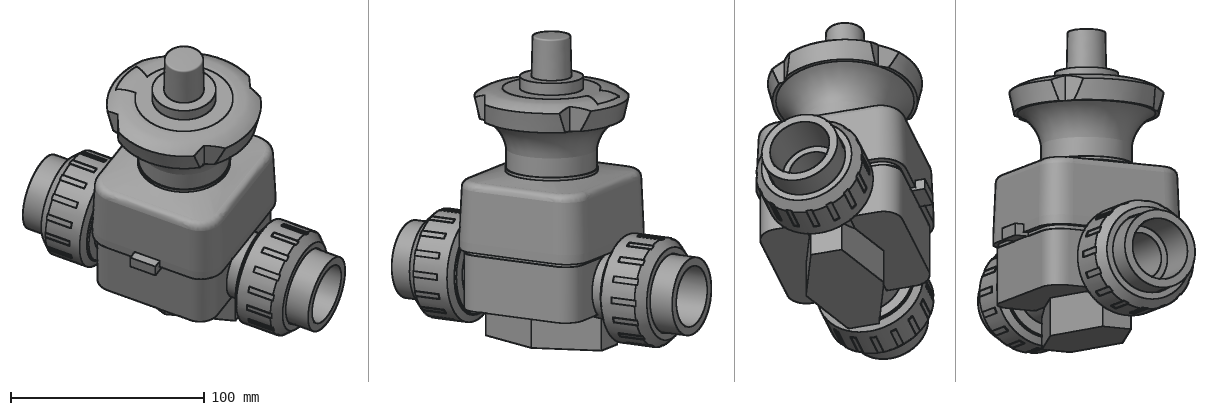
import cadquery as cq
import math


PIPE_HALF_LENGTH = 83.8
BORE_RADIUS = 12.5
SOCKET_RADIUS = 16.0
SOCKET_DEPTH = 23.0
SPIGOT_RADIUS = 18.0
PIPE_END_RADIUS = 20.45
FLANGE_RADIUS = 24.0
FLANGE_INNER_X = 43.0
FLANGE_OUTER_X = 64.0

NUT_INNER_X = 44.0
NUT_OUTER_X = 70.9
NUT_RADIUS = 28.65
NUT_HOLE_CLEARANCE = 0.4
NUT_OUTER_CHAMFER_LENGTH = 4.9
NUT_OUTER_FACE_RADIUS = 24.3
NUT_INNER_CHAMFER_LENGTH = 2.0
NUT_INNER_FACE_RADIUS = 24.6
GROOVE_COUNT = 16
GROOVE_WIDTH = 3.1
GROOVE_DEPTH = 0.5
GROOVE_INNER_X = 52.1

BLOCK_HALF_X = 34.6
BLOCK_HALF_Y = 38.2
BLOCK_BOTTOM_Z = -13.1
BLOCK_TOP_Z = 16.6
BLOCK_CORNER_RADIUS = 10.2
FOOT_BOTTOM_Z = -33.1
FOOT_HALF_Y = 21.0
FOOT_END_HALF_Y = 8.3

DIAPHRAGM_HALF_Y = 37.5
DIAPHRAGM_THICKNESS = 2.0
TAB_WIDTH = 14.8
TAB_HEIGHT = 6.2
TAB_LENGTH = 5.0

BONNET_BOTTOM_Z = BLOCK_TOP_Z + DIAPHRAGM_THICKNESS
BONNET_HALF_X = 37.6
BONNET_HALF_Y = 40.2
BONNET_CORNER_RADIUS = 13.2
SKIRT_HEIGHT = 5.0
BONNET_SHOULDER_Z = 55.0
BONNET_SIDE_INSET = 1.15
BONNET_TOP_CORNER_RADIUS = 12.8
BONNET_EDGE_RADIUS = 4.0
ROOF_TOP_Z = 57.4
COLLAR_CORNER_HALF_ANGLE = 13.5
BONNET_COLLAR_RADIUS = 24.1
BONNET_TOP_Z = 59.0

NECK_RADIUS = 23.6
NECK_TOP_Z = 69.1
FLARE_MIDDLE = (27.5, 78.9)
FLARE_TOP_RADIUS = 35.8
RIM_BOTTOM_Z = 86.1
RIM_BOTTOM_RADIUS = 37.6
RIM_TOP_Z = 96.9
RIM_TOP_RADIUS = 40.05
WHEEL_TOP_Z = 101.1
WHEEL_FLAT_RADIUS = 27.7
NOTCH_COUNT = 4
NOTCH_APEX_RADIUS = 35.9
NOTCH_APEX_ANGLE = 45.0
NOTCH_FLANK_ANGLES = (-15.6, 121.0)
NOTCH_CUT_LENGTH = 20.0

CAP_RADIUS = 25.4
CAP_FLOOR_Z = 97.0
POINTER_TIP_RADIUS = 36.5
POINTER_ROOT_POINTS = ((-24.3, 5.5), (-24.1, -7.9))
POINTER_TIP_ANGLES = (160.7, 193.6)
CAP_COLLAR_RADIUS = 16.5
CAP_COLLAR_TOP_Z = 107.4
VALVE_HEIGHT = 162.64
STEM_BASE_RADIUS = 10.4
STEM_TOP_RADIUS = 9.95
STEM_EDGE_RADIUS = 0.9
STEM_EDGE_Z = 128.2
STEM_TOP_Z = FOOT_BOTTOM_Z + VALVE_HEIGHT


def polar(radius, angle):
    """Point in the XY plane at an angle in degrees from +X."""
    turn = math.radians(angle)
    return (radius * math.cos(turn), radius * math.sin(turn))


def revolve_z(profile):
    """Solid of revolution about Z from a closed radius-height profile in the XZ plane."""
    return profile.revolve(360, (0, 0, 0), (0, 1, 0))


def rounded_block(half_x, half_y, corner_radius, bottom_z, top_z):
    block = cq.Workplane("XY").workplane(offset=bottom_z).rect(2 * half_x, 2 * half_y)
    return block.extrude(top_z - bottom_z).edges("|Z").fillet(corner_radius)


def rounded_outline(half_x, half_y, corner_radius, z):
    """Rounded rectangle with its centre on the Z axis."""
    sketch = cq.Sketch().rect(2 * half_x, 2 * half_y).vertices().fillet(corner_radius)
    return sketch.moved(cq.Location(cq.Vector(0, 0, z)))


def x_cylinder(radius, start_x, end_x):
    return cq.Workplane("YZ").workplane(offset=start_x).circle(radius).extrude(end_x - start_x)


def make_body():
    body = rounded_block(BLOCK_HALF_X, BLOCK_HALF_Y, BLOCK_CORNER_RADIUS, BLOCK_BOTTOM_Z, BLOCK_TOP_Z)
    foot = (
        cq.Workplane("XY")
        .workplane(offset=FOOT_BOTTOM_Z)
        .polyline([
            (-BLOCK_HALF_X, -FOOT_END_HALF_Y),
            (0, -FOOT_HALF_Y),
            (BLOCK_HALF_X, -FOOT_END_HALF_Y),
            (BLOCK_HALF_X, FOOT_END_HALF_Y),
            (0, FOOT_HALF_Y),
            (-BLOCK_HALF_X, FOOT_END_HALF_Y),
        ])
        .close()
        .extrude(-FOOT_BOTTOM_Z)
    )
    body = body.union(foot)
    body = body.union(x_cylinder(SPIGOT_RADIUS, -FLANGE_OUTER_X, FLANGE_OUTER_X))
    for side in (-1, 1):
        body = body.union(x_cylinder(FLANGE_RADIUS, side * FLANGE_INNER_X, side * FLANGE_OUTER_X))
        body = body.union(x_cylinder(PIPE_END_RADIUS, side * FLANGE_OUTER_X, side * PIPE_HALF_LENGTH))
    body = body.cut(x_cylinder(BORE_RADIUS, -PIPE_HALF_LENGTH, PIPE_HALF_LENGTH))
    for side in (-1, 1):
        socket_floor_x = side * (PIPE_HALF_LENGTH - SOCKET_DEPTH)
        body = body.cut(x_cylinder(SOCKET_RADIUS, socket_floor_x, side * PIPE_HALF_LENGTH))
    return body


def make_nut():
    """Union nut on the +X pipe end, with its shoulder against the body's flange."""
    outer_edge_x = NUT_OUTER_X - NUT_OUTER_CHAMFER_LENGTH
    hole_radius = PIPE_END_RADIUS + NUT_HOLE_CLEARANCE
    nut = (
        cq.Workplane("XY")
        .polyline([
            (NUT_INNER_X, FLANGE_RADIUS),
            (NUT_INNER_X, NUT_INNER_FACE_RADIUS),
            (NUT_INNER_X + NUT_INNER_CHAMFER_LENGTH, NUT_RADIUS),
            (outer_edge_x, NUT_RADIUS),
            (NUT_OUTER_X, NUT_OUTER_FACE_RADIUS),
            (NUT_OUTER_X, hole_radius),
            (FLANGE_OUTER_X, hole_radius),
            (FLANGE_OUTER_X, FLANGE_RADIUS),
        ])
        .close()
        .revolve(360, (0, 0, 0), (1, 0, 0))
    )
    groove_floor = NUT_RADIUS - GROOVE_DEPTH
    groove = cq.Workplane("XY").box(
        NUT_OUTER_X - GROOVE_INNER_X, GROOVE_WIDTH, NUT_RADIUS, centered=(False, True, False)
    ).translate((GROOVE_INNER_X, 0, groove_floor))
    for index in range(GROOVE_COUNT):
        nut = nut.cut(groove.rotate((0, 0, 0), (1, 0, 0), index * 360 / GROOVE_COUNT))
    return nut


def make_diaphragm():
    """Flat plate with a marking tab that turns up outside the bonnet skirt."""
    plate = rounded_block(
        BLOCK_HALF_X, DIAPHRAGM_HALF_Y, BLOCK_CORNER_RADIUS, BLOCK_TOP_Z, BONNET_BOTTOM_Z
    )
    tab_tip_y = -BONNET_HALF_Y - TAB_LENGTH
    tab = (
        cq.Workplane("YZ")
        .workplane(offset=-TAB_WIDTH / 2)
        .polyline([
            (0, BLOCK_TOP_Z),
            (tab_tip_y, BLOCK_TOP_Z),
            (tab_tip_y, BLOCK_TOP_Z + TAB_HEIGHT),
            (-BONNET_HALF_Y, BLOCK_TOP_Z + TAB_HEIGHT),
            (-BONNET_HALF_Y, BONNET_BOTTOM_Z),
            (0, BONNET_BOTTOM_Z),
        ])
        .close()
        .extrude(TAB_WIDTH)
    )
    return plate.union(tab)


def collar_outline():
    """Circle under the bonnet collar, split into four corner arcs and four side arcs."""
    outline = cq.Workplane("XY").workplane(offset=ROOF_TOP_Z)
    outline = outline.moveTo(*polar(BONNET_COLLAR_RADIUS, COLLAR_CORNER_HALF_ANGLE - 45))
    for corner in (45, 135, 225, 315):
        corner_start = polar(BONNET_COLLAR_RADIUS, corner - COLLAR_CORNER_HALF_ANGLE)
        corner_end = polar(BONNET_COLLAR_RADIUS, corner + COLLAR_CORNER_HALF_ANGLE)
        outline = outline.threePointArc(polar(BONNET_COLLAR_RADIUS, corner - 45), corner_start)
        outline = outline.threePointArc(polar(BONNET_COLLAR_RADIUS, corner), corner_end)
    return outline.close().val()


def roof_outline(half_x, half_y, corner_radius):
    """Rounded rectangle at the bonnet shoulder, started on the +X side like the collar outline."""
    straight_x = half_x - corner_radius
    straight_y = half_y - corner_radius
    reach = corner_radius * math.sqrt(0.5)
    outline = cq.Workplane("XY").workplane(offset=BONNET_SHOULDER_Z).moveTo(half_x, -straight_y)
    outline = outline.lineTo(half_x, straight_y)
    outline = outline.threePointArc((straight_x + reach, straight_y + reach), (straight_x, half_y))
    outline = outline.lineTo(-straight_x, half_y)
    outline = outline.threePointArc((-straight_x - reach, straight_y + reach), (-half_x, straight_y))
    outline = outline.lineTo(-half_x, -straight_y)
    outline = outline.threePointArc((-straight_x - reach, -straight_y - reach), (-straight_x, -half_y))
    outline = outline.lineTo(straight_x, -half_y)
    outline = outline.threePointArc((straight_x + reach, -straight_y - reach), (half_x, -straight_y))
    return outline.wire().val()


def make_bonnet():
    skirt_top_z = BONNET_BOTTOM_Z + SKIRT_HEIGHT
    bonnet = rounded_block(
        BONNET_HALF_X, BONNET_HALF_Y, BONNET_CORNER_RADIUS, BONNET_BOTTOM_Z, skirt_top_z
    )
    top_half_x = BONNET_HALF_X - BONNET_SIDE_INSET
    top_half_y = BONNET_HALF_Y - BONNET_SIDE_INSET
    hood = (
        cq.Workplane("XY")
        .placeSketch(
            rounded_outline(BONNET_HALF_X, BONNET_HALF_Y, BONNET_CORNER_RADIUS, skirt_top_z),
            rounded_outline(top_half_x, top_half_y, BONNET_TOP_CORNER_RADIUS, BONNET_SHOULDER_Z),
        )
        .loft(ruled=True)
        .faces(">Z")
        .edges()
        .fillet(BONNET_EDGE_RADIUS)
    )
    roof = cq.Solid.makeLoft(
        [
            roof_outline(
                top_half_x - BONNET_EDGE_RADIUS,
                top_half_y - BONNET_EDGE_RADIUS,
                BONNET_TOP_CORNER_RADIUS - BONNET_EDGE_RADIUS,
            ),
            collar_outline(),
        ],
        True,
    )
    collar = (
        cq.Workplane("XY")
        .workplane(offset=ROOF_TOP_Z)
        .circle(BONNET_COLLAR_RADIUS)
        .extrude(BONNET_TOP_Z - ROOF_TOP_Z)
    )
    return bonnet.union(hood).union(cq.Workplane(roof)).union(collar)


def make_wheel_blank():
    """Handwheel before the recess for the cap: neck, flared shank, conical rim and domed top."""
    dome_run = RIM_TOP_RADIUS - WHEEL_FLAT_RADIUS
    dome_drop = WHEEL_TOP_Z - RIM_TOP_Z
    dome_radius = (dome_run**2 + dome_drop**2) / (2 * dome_drop)
    dome_half_turn = math.asin(dome_run / dome_radius) / 2
    dome_middle = (
        WHEEL_FLAT_RADIUS + dome_radius * math.sin(dome_half_turn),
        WHEEL_TOP_Z - dome_radius * (1 - math.cos(dome_half_turn)),
    )
    blank = revolve_z(
        cq.Workplane("XZ")
        .moveTo(0, BONNET_TOP_Z)
        .lineTo(NECK_RADIUS, BONNET_TOP_Z)
        .lineTo(NECK_RADIUS, NECK_TOP_Z)
        .threePointArc(FLARE_MIDDLE, (FLARE_TOP_RADIUS, RIM_BOTTOM_Z))
        .lineTo(RIM_BOTTOM_RADIUS, RIM_BOTTOM_Z)
        .lineTo(RIM_TOP_RADIUS, RIM_TOP_Z)
        .threePointArc(dome_middle, (WHEEL_FLAT_RADIUS, WHEEL_TOP_Z))
        .lineTo(0, WHEEL_TOP_Z)
        .close()
    )
    apex = polar(NOTCH_APEX_RADIUS, NOTCH_APEX_ANGLE)
    flank_steps = [polar(NOTCH_CUT_LENGTH, angle) for angle in NOTCH_FLANK_ANGLES]
    flank_ends = [(apex[0] + step[0], apex[1] + step[1]) for step in flank_steps]
    far_corner = polar(NOTCH_APEX_RADIUS + NOTCH_CUT_LENGTH, NOTCH_APEX_ANGLE)
    notch = (
        cq.Workplane("XY")
        .workplane(offset=RIM_BOTTOM_Z)
        .polyline([apex, flank_ends[0], far_corner, flank_ends[1]])
        .close()
        .extrude(WHEEL_TOP_Z - RIM_BOTTOM_Z)
    )
    for index in range(NOTCH_COUNT):
        blank = blank.cut(notch.rotate((0, 0, 0), (0, 0, 1), index * 360 / NOTCH_COUNT))
    return blank


def make_cap_space():
    """Round recess in the top of the handwheel with its pointer on the -X side."""
    height = WHEEL_TOP_Z - CAP_FLOOR_Z
    disc = cq.Workplane("XY").workplane(offset=CAP_FLOOR_Z).circle(CAP_RADIUS).extrude(height)
    first_tip, last_tip = (polar(POINTER_TIP_RADIUS, angle) for angle in POINTER_TIP_ANGLES)
    middle_tip = polar(POINTER_TIP_RADIUS, sum(POINTER_TIP_ANGLES) / 2)
    pointer = (
        cq.Workplane("XY")
        .workplane(offset=CAP_FLOOR_Z)
        .moveTo(*POINTER_ROOT_POINTS[0])
        .lineTo(*first_tip)
        .threePointArc(middle_tip, last_tip)
        .lineTo(*POINTER_ROOT_POINTS[1])
        .close()
        .extrude(height)
    )
    return disc.union(pointer)


def make_cap(wheel_blank, cap_space):
    """Cap flush with the handwheel's top, carrying a collar and a tapered spindle cover."""
    cap = wheel_blank.intersect(cap_space)
    dome_edge_r = STEM_TOP_RADIUS - STEM_EDGE_RADIUS
    dome_edge_z = STEM_EDGE_Z + STEM_EDGE_RADIUS
    edge_reach = STEM_EDGE_RADIUS * math.sqrt(0.5)
    dome_rise = STEM_TOP_Z - dome_edge_z
    dome_radius = (dome_edge_r**2 + dome_rise**2) / (2 * dome_rise)
    dome_middle_r = dome_edge_r / 2
    dome_drop = dome_radius - math.sqrt(dome_radius**2 - dome_middle_r**2)
    stem = revolve_z(
        cq.Workplane("XZ")
        .moveTo(0, CAP_FLOOR_Z)
        .lineTo(CAP_COLLAR_RADIUS, CAP_FLOOR_Z)
        .lineTo(CAP_COLLAR_RADIUS, CAP_COLLAR_TOP_Z)
        .lineTo(STEM_BASE_RADIUS, CAP_COLLAR_TOP_Z)
        .lineTo(STEM_TOP_RADIUS, STEM_EDGE_Z)
        .threePointArc((dome_edge_r + edge_reach, STEM_EDGE_Z + edge_reach), (dome_edge_r, dome_edge_z))
        .threePointArc((dome_middle_r, STEM_TOP_Z - dome_drop), (0, STEM_TOP_Z))
        .close()
    )
    return cap.union(stem)


diaphragm = make_diaphragm()
body = make_body().cut(diaphragm)
nut = make_nut()
nuts = [nut.rotate((0, 0, 0), (0, 0, 1), turn) for turn in (0, 180)]
bonnet = make_bonnet()
wheel_blank = make_wheel_blank()
cap_space = make_cap_space()
cap = make_cap(wheel_blank, cap_space)
handwheel = wheel_blank.cut(cap_space)

result = cq.Compound.makeCompound([
    body.val(),
    *[union_nut.val() for union_nut in nuts],
    diaphragm.val(),
    bonnet.val(),
    handwheel.val(),
    cap.val(),
])